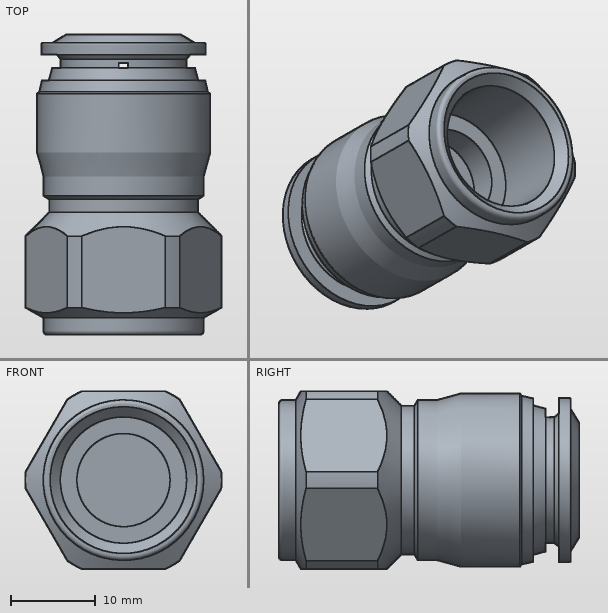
import cadquery as cq

length = 35.5

across_flats = 21.0
hex_radius = 11.6
hex_start = 3.23
hex_end = 11.68
spigot_radius = 9.48
spigot_length = 2.02
spigot_round = 0.5

neck_radius = 8.8
neck_start = hex_end + hex_radius - neck_radius
neck_end = 16.0
band_start = 16.45
band_end = 18.7
body_radius = 10.25
body_start = 21.55
body_end = 28.47
shoulder_start = 28.7
shoulder_base_radius = 9.98
shoulder_tip_radius = 9.65
shoulder_end = 30.07
cap_base_radius = 8.85
cap_tip_radius = 8.45
cap_end = 31.52

sleeve_radius = 7.45
flare_start = 32.55
flare_radius = 7.88
collar_radius = 9.73
collar_start = 33.1
collar_end = 34.5
collar_round = 0.25
crown_base_radius = 8.38
crown_tip_radius = 6.75
slot_width = 1.05
slot_length = 0.57

mouth_radius = 8.65
bore_radius = 7.45
mouth_depth = mouth_radius - bore_radius
bore_depth = 12.07
recess_radius = 5.5
recess_depth = 15.98


def revolve_about_y(profile):
    """Revolve a closed (radius, y) outline a full turn about the Y axis."""
    return profile.close().revolve(360, (0, 0, 0), (0, 1, 0))


def turned_body():
    """Solid of revolution carrying every outside diameter."""
    profile = (
        cq.Workplane("XY")
        .lineTo(spigot_radius - spigot_round, 0)
        .radiusArc((spigot_radius, spigot_round), -spigot_round)
        .lineTo(spigot_radius, spigot_length)
        .lineTo(hex_radius, hex_start)
        .lineTo(hex_radius, hex_end)
        .lineTo(neck_radius, neck_start)
        .lineTo(neck_radius, neck_end)
        .lineTo(spigot_radius, band_start)
        .lineTo(spigot_radius, band_end)
        .lineTo(body_radius, body_start)
        .lineTo(body_radius, body_end)
        .lineTo(shoulder_base_radius, shoulder_start)
        .lineTo(shoulder_tip_radius, shoulder_end)
        .lineTo(cap_base_radius, shoulder_end)
        .lineTo(cap_tip_radius, cap_end)
        .lineTo(sleeve_radius, cap_end)
        .lineTo(sleeve_radius, flare_start)
        .lineTo(flare_radius, collar_start)
        .lineTo(collar_radius, collar_start)
        .lineTo(collar_radius, collar_end - collar_round)
        .radiusArc((collar_radius - collar_round, collar_end), -collar_round)
        .lineTo(crown_base_radius, collar_end)
        .lineTo(crown_tip_radius, length)
        .lineTo(0, length)
    )
    return revolve_about_y(profile)


def hex_envelope():
    """Hexagonal prism, flats turned to face +Z and -Z, running the full length."""
    return (
        cq.Workplane("XZ")
        .polygon(6, across_flats, circumscribed=True)
        .extrude(-length)
        .rotate((0, 0, 0), (0, 1, 0), 30)
    )


def stepped_bore():
    """Chamfered mouth, main bore and smaller recess in its floor."""
    profile = (
        cq.Workplane("XY")
        .lineTo(mouth_radius, 0)
        .lineTo(bore_radius, mouth_depth)
        .lineTo(bore_radius, bore_depth)
        .lineTo(recess_radius, bore_depth)
        .lineTo(recess_radius, recess_depth)
        .lineTo(0, recess_depth)
    )
    return revolve_about_y(profile)


def sleeve_slot():
    """Slot passing through the release sleeve along Z, just behind the cap."""
    return (
        cq.Workplane("XY")
        .center(0, cap_end + slot_length / 2)
        .rect(slot_width, slot_length)
        .extrude(collar_radius, both=True)
    )


result = (
    turned_body()
    .intersect(hex_envelope())
    .cut(stepped_bore())
    .cut(sleeve_slot())
)